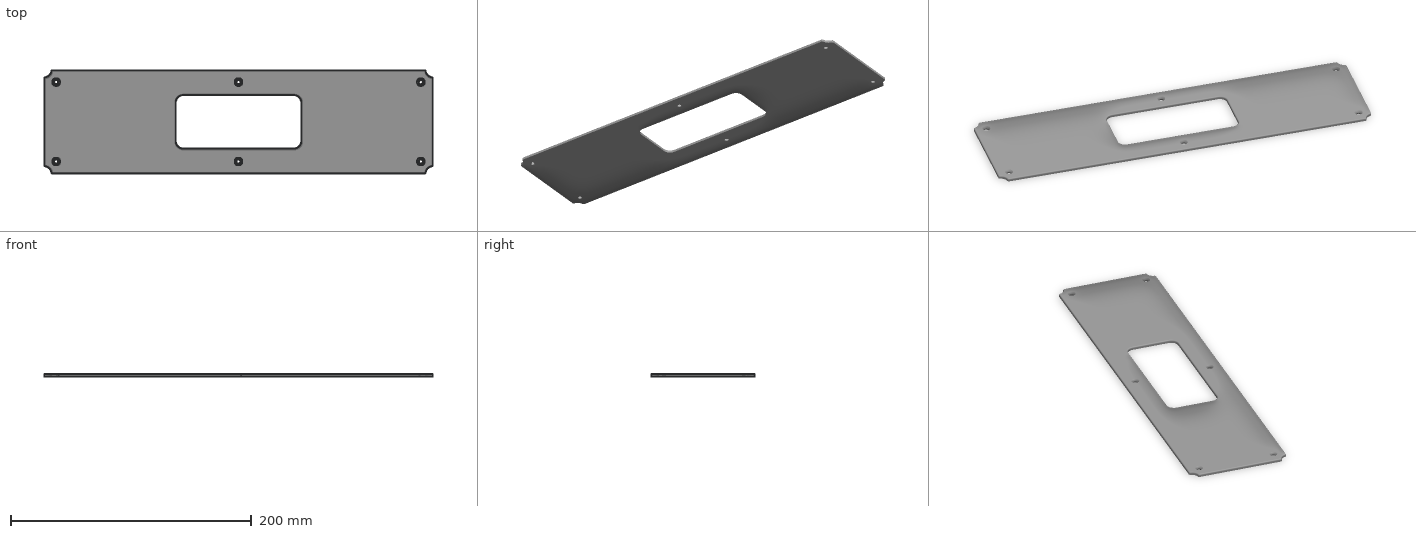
import cadquery as cq

length = 323.18
width = 86.08
thickness = 2.5
corner_notch_radius = 6.0
notch_tip_radius = 1.25

window_length = 104.2
window_width = 44.3
window_corner_radius = 6.25

edge_fillet = 1.0

hole_diameter = 3.4
countersink_diameter = 6.6
countersink_angle = 90.0
hole_column_pitch = 151.6
hole_row_pitch = 66.0
hole_columns = 3
hole_rows = 2


def make_plate():
    """Flat plate with concave round corner notches with rounded tips."""
    blank = cq.Workplane("XY").box(length, width, thickness, centered=(True, True, False))
    notches = (
        cq.Workplane("XY")
        .rect(length, width, forConstruction=True)
        .vertices()
        .circle(corner_notch_radius)
        .extrude(thickness)
    )
    return blank.cut(notches).edges("|Z").fillet(notch_tip_radius)


def make_window():
    """Cutter for the window with rounded corners."""
    return (
        cq.Workplane("XY")
        .rect(window_length, window_width)
        .extrude(thickness)
        .edges("|Z")
        .fillet(window_corner_radius)
    )


def round_top_edges(plate):
    """Round the top rim of the outline and of the window."""
    return plate.faces(">Z").edges().fillet(edge_fillet)


def drill_screw_holes(plate):
    """Drill the grid of countersunk holes from the top face."""
    return (
        plate.faces(">Z")
        .workplane(origin=(0, 0, thickness))
        .rarray(hole_column_pitch, hole_row_pitch, hole_columns, hole_rows)
        .cskHole(hole_diameter, countersink_diameter, countersink_angle)
    )


plate_with_window = make_plate().cut(make_window())
result = drill_screw_holes(round_top_edges(plate_with_window))